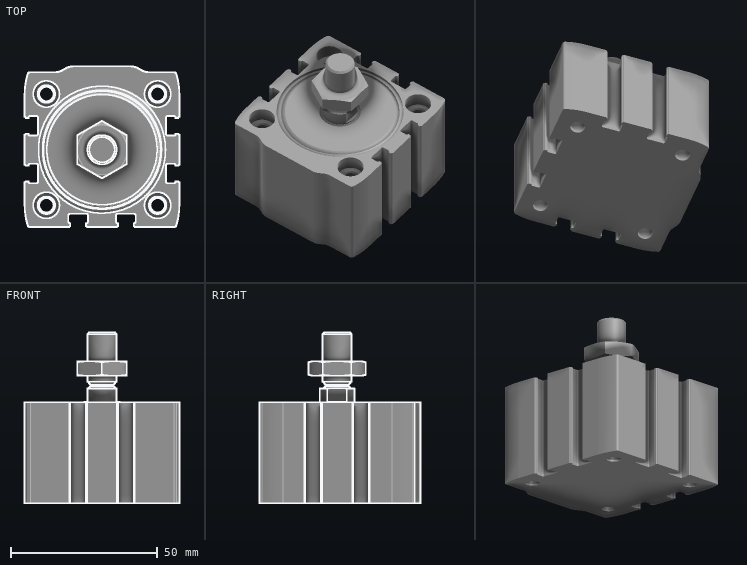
import cadquery as cq
import math


HOUSING_HEIGHT = 34.6
HALF_WIDTH = 26.5
CROWN_RISE = 2.0
CROWN_FLAT_HALF = 9.85
CROWN_FOOT_HALF = 15.95
CROWN_ANGLE = math.radians(30)
SIDE_FLAT_HALF = 18.6
SIDE_ARC_RADIUS = 25.0
CORNER_RADIUS = 1.0

SLOT_OFFSET = 8.15
SLOT_NECK_WIDTH = 5.3
SLOT_WIDTH = 6.6
SLOT_DEPTH = 4.6
SLOT_LIP = 1.4
SLOT_CORNER_RADIUS = 0.5
SLOT_LIP_RADIUS = 0.4

HOLE_OFFSET = 19.0
COUNTERBORE_DIAMETER = 9.0
COUNTERBORE_DEPTH = 5.0
THREAD_CORE_DIAMETER = 4.92
THREAD_MOUTH_DIAMETER = 6.0

MOUTH_DIAMETER = 43.4
BEVEL_TOP_DIAMETER = 40.7
GROOVE_DIAMETER = 40.3
COVER_DIAMETER = 40.0
COVER_SHOULDER_DIAMETER = 38.6
COVER_FACE_DIAMETER = 37.7
MOUTH_DEPTH = 1.0
BEVEL_TOP_DEPTH = 0.4
GROOVE_DEPTH = 1.0
COVER_SHOULDER_DEPTH = 0.5
COVER_FACE_DEPTH = 0.2
ROD_MOUTH_DIAMETER = 14.1
ROD_MOUTH_DEPTH = 1.0
WIPER_LIP_DIAMETER = 12.3
WIPER_LIP_DROP = 0.2

ROD_DIAMETER = 12.0
ROD_FLATS = 10.0
ROD_PROJECTION = 23.9
ROD_EMBEDMENT = 10.0
FLATS_START = 0.1
SHOULDER_HEIGHT = 4.8
SHOULDER_CHAMFER = 0.25
RELIEF_DIAMETER = 8.1
RELIEF_FOOT_DIAMETER = 9.2
RELIEF_BOTTOM_HEIGHT = 5.4
RELIEF_TOP_HEIGHT = 5.9
THREAD_DIAMETER = 10.0
THREAD_ROOT_DIAMETER = 8.65
THREAD_START = 7.0
THREAD_CHAMFER = (THREAD_DIAMETER - THREAD_ROOT_DIAMETER) / 2

NUT_FLATS = 17.0
NUT_HEIGHT = 5.0
NUT_BASE = 8.95
NUT_CHAMFER_ANGLE = math.radians(15)


def housing_block():
    """Solid profile: flat front, bowed sides, crowned back."""
    bow_y = HALF_WIDTH - SIDE_FLAT_HALF
    bow_angle = math.asin(bow_y / SIDE_ARC_RADIUS)
    corner_x = HALF_WIDTH - SIDE_ARC_RADIUS * (1 - math.cos(bow_angle))
    mid_x = HALF_WIDTH - SIDE_ARC_RADIUS * (1 - math.cos(bow_angle / 2))
    mid_y = SIDE_FLAT_HALF + SIDE_ARC_RADIUS * math.sin(bow_angle / 2)
    block = (
        cq.Workplane("XY")
        .moveTo(-corner_x, -HALF_WIDTH)
        .lineTo(corner_x, -HALF_WIDTH)
        .threePointArc((mid_x, -mid_y), (HALF_WIDTH, -SIDE_FLAT_HALF))
        .lineTo(HALF_WIDTH, SIDE_FLAT_HALF)
        .threePointArc((mid_x, mid_y), (corner_x, HALF_WIDTH))
        .lineTo(-corner_x, HALF_WIDTH)
        .threePointArc((-mid_x, mid_y), (-HALF_WIDTH, SIDE_FLAT_HALF))
        .lineTo(-HALF_WIDTH, -SIDE_FLAT_HALF)
        .threePointArc((-mid_x, -mid_y), (-corner_x, -HALF_WIDTH))
        .close()
        .extrude(HOUSING_HEIGHT)
    )
    reach = CORNER_RADIUS
    for side in (-1, 1):
        for end in (-1, 1):
            x = side * corner_x
            y = end * HALF_WIDTH
            near = cq.selectors.BoxSelector(
                (x - reach, y - reach, 0),
                (x + reach, y + reach, HOUSING_HEIGHT),
            )
            block = block.edges("|Z").edges(near).fillet(CORNER_RADIUS)
    return block.union(crown())


def crown():
    """Raised port face, blended into the back face by an S-curve at each end."""
    run = CROWN_FOOT_HALF - CROWN_FLAT_HALF
    sine = math.sin(CROWN_ANGLE)
    versine = 1 - math.cos(CROWN_ANGLE)
    slope = math.tan(CROWN_ANGLE)
    radius = (run * slope - CROWN_RISE) / (2 * (sine * slope - versine))
    top = HALF_WIDTH + CROWN_RISE
    arc_x = radius * sine
    arc_y = radius * versine
    return (
        cq.Workplane("XY")
        .moveTo(-CROWN_FOOT_HALF, HALF_WIDTH)
        .radiusArc((-CROWN_FOOT_HALF + arc_x, HALF_WIDTH + arc_y), -radius)
        .lineTo(-CROWN_FLAT_HALF - arc_x, top - arc_y)
        .radiusArc((-CROWN_FLAT_HALF, top), radius)
        .lineTo(CROWN_FLAT_HALF, top)
        .radiusArc((CROWN_FLAT_HALF + arc_x, top - arc_y), radius)
        .lineTo(CROWN_FOOT_HALF - arc_x, HALF_WIDTH + arc_y)
        .radiusArc((CROWN_FOOT_HALF, HALF_WIDTH), -radius)
        .lineTo(CROWN_FOOT_HALF, 0)
        .lineTo(-CROWN_FOOT_HALF, 0)
        .close()
        .extrude(HOUSING_HEIGHT)
    )


def slot_cutter():
    """T-slot opening on the -Y face, centred on X = 0, lips rounded outwards."""
    neck = SLOT_NECK_WIDTH / 2
    cavity_depth = SLOT_DEPTH - SLOT_LIP
    cavity_y = -HALF_WIDTH + SLOT_LIP + cavity_depth / 2
    cavity = (
        cq.Workplane("XY")
        .center(0, cavity_y)
        .rect(SLOT_WIDTH, cavity_depth)
        .extrude(HOUSING_HEIGHT)
        .edges("|Z")
        .fillet(SLOT_CORNER_RADIUS)
    )
    opening = (
        cq.Workplane("XY")
        .moveTo(-neck - SLOT_LIP_RADIUS, -HALF_WIDTH)
        .lineTo(neck + SLOT_LIP_RADIUS, -HALF_WIDTH)
        .radiusArc((neck, -HALF_WIDTH + SLOT_LIP_RADIUS), -SLOT_LIP_RADIUS)
        .lineTo(neck, cavity_y)
        .lineTo(-neck, cavity_y)
        .lineTo(-neck, -HALF_WIDTH + SLOT_LIP_RADIUS)
        .radiusArc((-neck - SLOT_LIP_RADIUS, -HALF_WIDTH), -SLOT_LIP_RADIUS)
        .close()
        .extrude(HOUSING_HEIGHT)
    )
    return cavity.union(opening)


def revolved(profile):
    """Turn a (radius, height) outline about Z."""
    return cq.Workplane("XZ").polyline(profile).close().revolve(360, (0, 0, 0), (0, 1, 0))


def mounting_hole_cutter():
    """Threaded-core through hole with a chamfered mouth and a counterbore."""
    core = THREAD_CORE_DIAMETER / 2
    mouth = THREAD_MOUTH_DIAMETER / 2
    bore = COUNTERBORE_DIAMETER / 2
    floor = HOUSING_HEIGHT - COUNTERBORE_DEPTH
    return revolved([
        (0, 0),
        (core, 0),
        (core, floor - (mouth - core)),
        (mouth, floor),
        (bore, floor),
        (bore, HOUSING_HEIGHT),
        (0, HOUSING_HEIGHT),
    ])


def mouth_cutter():
    """Stepped recess that leaves the bevelled ring and the front cover face."""
    top = HOUSING_HEIGHT
    face = top - COVER_FACE_DEPTH
    return revolved([
        (0, top),
        (MOUTH_DIAMETER / 2, top),
        (MOUTH_DIAMETER / 2, top - MOUTH_DEPTH),
        (BEVEL_TOP_DIAMETER / 2, top - BEVEL_TOP_DEPTH),
        (GROOVE_DIAMETER / 2, top - GROOVE_DEPTH),
        (COVER_DIAMETER / 2, top - GROOVE_DEPTH),
        (COVER_SHOULDER_DIAMETER / 2, top - COVER_SHOULDER_DEPTH),
        (COVER_FACE_DIAMETER / 2, face),
        (0, face),
    ])


def rod_hole_cutter():
    """Blind rod hole with a bevelled lip standing in a shallow recess."""
    face = HOUSING_HEIGHT - COVER_FACE_DEPTH
    bottom = HOUSING_HEIGHT - ROD_EMBEDMENT
    return revolved([
        (0, bottom),
        (ROD_DIAMETER / 2, bottom),
        (ROD_DIAMETER / 2, face - WIPER_LIP_DROP),
        (WIPER_LIP_DIAMETER / 2, face - WIPER_LIP_DROP),
        (ROD_MOUTH_DIAMETER / 2, face - ROD_MOUTH_DEPTH),
        (ROD_MOUTH_DIAMETER / 2, face),
        (0, face),
    ])


def make_housing():
    housing = housing_block()
    slot = slot_cutter()
    for turn in (-90, 0, 90):
        for offset in (-SLOT_OFFSET, SLOT_OFFSET):
            placed = slot.translate((offset, 0, 0)).rotate((0, 0, 0), (0, 0, 1), turn)
            housing = housing.cut(placed)
    hole = mounting_hole_cutter()
    for x in (-HOLE_OFFSET, HOLE_OFFSET):
        for y in (-HOLE_OFFSET, HOLE_OFFSET):
            housing = housing.cut(hole.translate((x, y, 0)))
    return housing.cut(mouth_cutter()).cut(rod_hole_cutter())


def make_rod():
    """Rod with two wrench flats on its shank and a threaded end above a relief groove."""
    top = HOUSING_HEIGHT
    shank = ROD_DIAMETER / 2
    relief = RELIEF_DIAMETER / 2
    root = THREAD_ROOT_DIAMETER / 2
    thread = THREAD_DIAMETER / 2
    shoulder = top + SHOULDER_HEIGHT
    tip = top + ROD_PROJECTION
    rod = revolved([
        (0, top - ROD_EMBEDMENT),
        (shank, top - ROD_EMBEDMENT),
        (shank, shoulder - SHOULDER_CHAMFER),
        (shank - SHOULDER_CHAMFER, shoulder),
        (RELIEF_FOOT_DIAMETER / 2, shoulder),
        (relief, top + RELIEF_BOTTOM_HEIGHT),
        (relief, top + RELIEF_TOP_HEIGHT),
        (root, top + THREAD_START - THREAD_CHAMFER),
        (thread, top + THREAD_START),
        (thread, tip - THREAD_CHAMFER),
        (root, tip),
        (0, tip),
    ])
    flats_height = SHOULDER_HEIGHT - FLATS_START
    for side in (-1, 1):
        flat = cq.Workplane("XY").rect(ROD_DIAMETER, ROD_DIAMETER).extrude(flats_height)
        flat_x = side * (ROD_FLATS + ROD_DIAMETER) / 2
        rod = rod.cut(flat.translate((flat_x, 0, top + FLATS_START)))
    return rod


def make_nut():
    """Hexagon nut with points on the Y axis and both ends chamfered to the flats circle."""
    corner_radius = NUT_FLATS / math.sqrt(3)
    drop = (corner_radius - NUT_FLATS / 2) * math.tan(NUT_CHAMFER_ANGLE)
    envelope = revolved([
        (THREAD_DIAMETER / 2, 0),
        (NUT_FLATS / 2, 0),
        (corner_radius, drop),
        (corner_radius, NUT_HEIGHT - drop),
        (NUT_FLATS / 2, NUT_HEIGHT),
        (THREAD_DIAMETER / 2, NUT_HEIGHT),
    ])
    hexagon = (
        cq.Workplane("XY")
        .polygon(6, 2 * corner_radius)
        .extrude(NUT_HEIGHT)
        .rotate((0, 0, 0), (0, 0, 1), 90)
    )
    return hexagon.intersect(envelope).translate((0, 0, HOUSING_HEIGHT + NUT_BASE))


housing = make_housing()
rod = make_rod()
nut = make_nut()

result = cq.Compound.makeCompound([housing.val(), rod.val(), nut.val()])